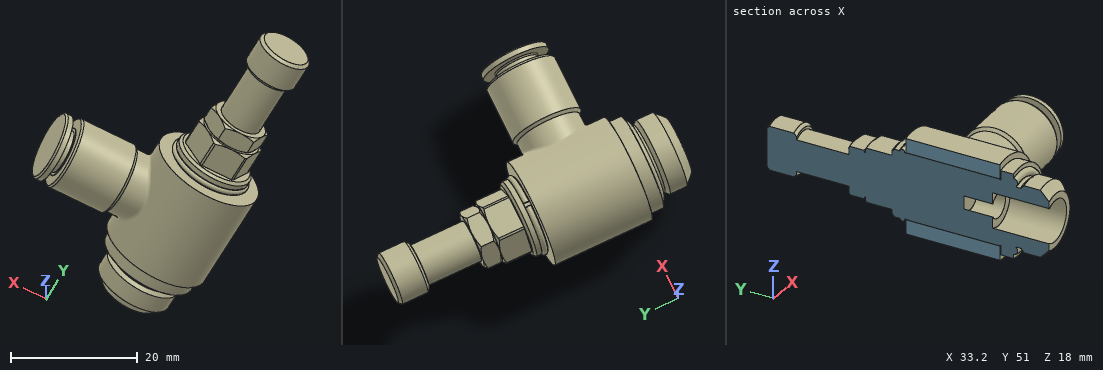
import cadquery as cq
import math


OVERALL_WIDTH = 33.2
OVERALL_LENGTH = 51.0

BARREL_DIAMETER = 18.0
BARREL_RADIUS = BARREL_DIAMETER / 2
BARREL_HALF_LENGTH = 8.5
BRANCH_RADIUS = 5.5
BRANCH_FILLET = 0.5
BRANCH_NECK_END = 11.25
SOCKET_RADIUS = 6.0
SOCKET_START = 11.8
SOCKET_END = 21.6
SOCKET_CHAMFER_LENGTH = 0.35
SOCKET_CHAMFER_DEPTH = 0.2
LIP_RADIUS = 4.15
LIP_END = 21.7
SLEEVE_RADIUS = 3.6
SLEEVE_FLARE_START = 22.75
SLEEVE_FLARE_RADIUS = 3.8
DISC_START = 23.0
DISC_RADIUS = 5.75
DISC_CHAMFER = 0.3
BRANCH_LENGTH = OVERALL_WIDTH - BARREL_RADIUS

STEM_BACK = 33.6
STEM_FRONT = STEM_BACK - OVERALL_LENGTH
KNOB_RADIUS = 4.5
KNOB_LENGTH = 5.45
KNOB_CHAMFER = 0.5
ROD_RADIUS = 3.5
HEX_SIDES = 6
LOCKNUT_WIDTH = 9.0
LOCKNUT_BACK = 18.8
HEX_WIDTH = 10.0
HEX_BACK = 15.8
HEX_CORNER_RADIUS = 5.65
HEX_CHAMFER_ANGLE = 30
COLLAR_RADIUS = 6.55
COLLAR_BACK = 11.0
COLLAR_FRONT = 9.65
COLLAR_CHAMFER = 0.45
RING_WIRE_RADIUS = 0.5
RING_CENTRE_RADIUS = 6.4
RING_GAP = 0.7
SHAFT_RADIUS = 6.4
FLANGE_CLEARANCE = 0.15
FLANGE_RADIUS = 8.0
FLANGE_FRONT = -10.95
SEAL_RADIUS = 7.25
SEAL_ROUND = 0.75
PLUG_NECK_RADIUS = 5.85
PLUG_NECK_FRONT = -12.25
PLUG_RADIUS = 6.5
PLUG_TIP_CHAMFER = 1.6
BORE_RADIUS = 3.7
BORE_DEPTH = 10.2
INNER_BORE_RADIUS = 2.25
INNER_BORE_DEPTH = 5.1


def y_cylinder(radius, back, front):
    """Cylinder on the Y axis between two Y positions."""
    return cq.Workplane("XZ", origin=(0, back, 0)).circle(radius).extrude(back - front)


def revolve_about_y(profile):
    """Turn an XY outline, with X as the radius, about the Y axis."""
    return profile.close().revolve(360, (0, 0, 0), (0, 1, 0))


def branch_turning():
    """Outer parts of the branch beyond its neck: socket, lip, release sleeve and disc."""
    outline = [
        (BRANCH_NECK_END, 0),
        (BRANCH_NECK_END, BRANCH_RADIUS),
        (SOCKET_START, SOCKET_RADIUS),
        (SOCKET_END - SOCKET_CHAMFER_LENGTH, SOCKET_RADIUS),
        (SOCKET_END, SOCKET_RADIUS - SOCKET_CHAMFER_DEPTH),
        (SOCKET_END, LIP_RADIUS),
        (LIP_END, LIP_RADIUS),
        (LIP_END, SLEEVE_RADIUS),
        (SLEEVE_FLARE_START, SLEEVE_RADIUS),
        (DISC_START, SLEEVE_FLARE_RADIUS),
        (DISC_START, DISC_RADIUS),
        (BRANCH_LENGTH - DISC_CHAMFER, DISC_RADIUS),
        (BRANCH_LENGTH, DISC_RADIUS - DISC_CHAMFER),
        (BRANCH_LENGTH, 0),
    ]
    return cq.Workplane("XY").polyline(outline).close().revolve(360, (0, 0, 0), (1, 0, 0))


def make_housing():
    """Barrel with a filleted side branch and a bore for the stem."""
    barrel = y_cylinder(BARREL_RADIUS, BARREL_HALF_LENGTH, -BARREL_HALF_LENGTH)
    neck = cq.Workplane("YZ").circle(BRANCH_RADIUS).extrude(BRANCH_NECK_END)
    body = barrel.union(neck)
    joint = cq.selectors.BoxSelector(
        (BARREL_RADIUS / 2, -BARREL_HALF_LENGTH / 2, -BARREL_RADIUS),
        (BRANCH_NECK_END - BRANCH_FILLET, BARREL_HALF_LENGTH / 2, BARREL_RADIUS),
    )
    body = body.edges(joint).edges("not %LINE").fillet(BRANCH_FILLET)
    shaft_bore = y_cylinder(SHAFT_RADIUS, BARREL_HALF_LENGTH, -BARREL_HALF_LENGTH)
    return body.union(branch_turning()).cut(shaft_bore)


def hexagon(width, back, front):
    """Hexagonal prism on the Y axis with two flats facing up and down."""
    corner_diameter = width / math.cos(math.pi / HEX_SIDES)
    return cq.Workplane("XZ", origin=(0, back, 0)).polygon(HEX_SIDES, corner_diameter).extrude(back - front)


def hex_turning(width, corner_radius, back, front, front_chamfered):
    """Turned blank that rounds the corners of a hexagon and chamfers its ends."""
    face_radius = width / 2
    drop = (corner_radius - face_radius) * math.tan(math.radians(HEX_CHAMFER_ANGLE))
    outline = [(0, back), (face_radius, back), (corner_radius, back - drop)]
    if front_chamfered:
        outline += [(corner_radius, front + drop), (face_radius, front)]
    else:
        outline += [(corner_radius, front)]
    outline += [(0, front)]
    return revolve_about_y(cq.Workplane("XY").polyline(outline))


def locknut():
    """Hexagonal nut on the rod, chamfered at both ends."""
    corner_radius = LOCKNUT_WIDTH / 2 / math.cos(math.pi / HEX_SIDES)
    blank = hex_turning(LOCKNUT_WIDTH, corner_radius, LOCKNUT_BACK, HEX_BACK, True)
    return hexagon(LOCKNUT_WIDTH, LOCKNUT_BACK, HEX_BACK).intersect(blank)


def wrench_hex():
    """Hexagon behind the collar, with rounded corners and a chamfered back end."""
    blank = hex_turning(HEX_WIDTH, HEX_CORNER_RADIUS, HEX_BACK, COLLAR_BACK, False)
    return hexagon(HEX_WIDTH, HEX_BACK, COLLAR_BACK).intersect(blank)


def knob_and_rod():
    """Chamfered knob on a plain round rod."""
    knob_front = STEM_BACK - KNOB_LENGTH
    knob = y_cylinder(KNOB_RADIUS, STEM_BACK, knob_front).edges().chamfer(KNOB_CHAMFER)
    return knob.union(y_cylinder(ROD_RADIUS, knob_front, LOCKNUT_BACK))


def retaining_ring():
    """Round-wire ring at the barrel's back end, with a gap at the top."""
    ring_y = COLLAR_FRONT - RING_WIRE_RADIUS
    wire = cq.Workplane("XY").center(RING_CENTRE_RADIUS, ring_y).circle(RING_WIRE_RADIUS)
    ring = wire.revolve(360, (-RING_CENTRE_RADIUS, 0, 0), (-RING_CENTRE_RADIUS, 1, 0))
    gap = cq.Workplane("XY", origin=(0, ring_y, 0)).rect(RING_GAP, 2 * RING_WIRE_RADIUS)
    return ring.cut(gap.extrude(RING_CENTRE_RADIUS + 2 * RING_WIRE_RADIUS))


def collar_and_plug():
    """Turned part from the collar, through the barrel, to the plug tip."""
    flange_back = -BARREL_HALF_LENGTH - FLANGE_CLEARANCE
    seal_front = FLANGE_FRONT - SEAL_ROUND
    seal_centre = SEAL_RADIUS - SEAL_ROUND
    seal_inner = FLANGE_FRONT - math.sqrt(SEAL_ROUND**2 - (seal_centre - PLUG_NECK_RADIUS) ** 2)
    plug_back = PLUG_NECK_FRONT - (PLUG_RADIUS - PLUG_NECK_RADIUS)
    profile = (
        cq.Workplane("XY")
        .moveTo(0, COLLAR_BACK)
        .lineTo(COLLAR_RADIUS - COLLAR_CHAMFER, COLLAR_BACK)
        .lineTo(COLLAR_RADIUS, COLLAR_BACK - COLLAR_CHAMFER)
        .lineTo(COLLAR_RADIUS, COLLAR_FRONT)
        .lineTo(SHAFT_RADIUS, COLLAR_FRONT)
        .lineTo(SHAFT_RADIUS, flange_back)
        .lineTo(FLANGE_RADIUS, flange_back)
        .lineTo(FLANGE_RADIUS, FLANGE_FRONT)
        .lineTo(SEAL_RADIUS, FLANGE_FRONT)
        .threePointArc((seal_centre, seal_front), (PLUG_NECK_RADIUS, seal_inner))
        .lineTo(PLUG_NECK_RADIUS, PLUG_NECK_FRONT)
        .lineTo(PLUG_RADIUS, plug_back)
        .lineTo(PLUG_RADIUS, STEM_FRONT + PLUG_TIP_CHAMFER)
        .lineTo(PLUG_RADIUS - PLUG_TIP_CHAMFER, STEM_FRONT)
        .lineTo(0, STEM_FRONT)
    )
    return revolve_about_y(profile)


def plug_bore():
    """Stepped blind bore entering from the plug tip."""
    bore_end = STEM_FRONT + BORE_DEPTH
    bore = y_cylinder(BORE_RADIUS, bore_end, STEM_FRONT)
    return bore.union(y_cylinder(INNER_BORE_RADIUS, bore_end + INNER_BORE_DEPTH, bore_end))


def make_stem():
    """Knob, rod, nuts, retaining ring and bored plug as one solid."""
    stem = collar_and_plug().union(retaining_ring())
    stem = stem.union(wrench_hex()).union(locknut()).union(knob_and_rod())
    return stem.cut(plug_bore())


housing = make_housing()
stem = make_stem()

result = cq.Compound.makeCompound([housing.solids().val(), stem.solids().val()])